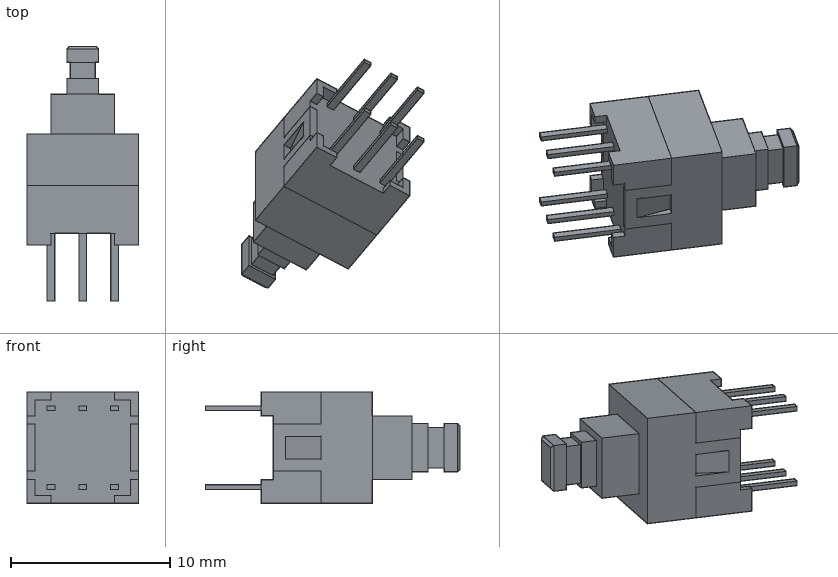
import cadquery as cq


total_length = 16.0
body_width = 7.0

pin_length = 4.25
base_length = 3.0
post_height = 0.75
cover_length = 3.25
collar_length = 2.5

joint_y = base_length
cover_end_y = joint_y + cover_length
collar_end_y = cover_end_y + collar_length
button_end_y = total_length - pin_length

post_leg = 1.5
wall = 0.5

collar_width = 4.0
arm_width = 2.95
arm_center_x = (body_width - wall) / 2
window_width = 1.42
window_length = 2.22

plunger_x = 2.0
plunger_z = 3.04
neck_x = 1.6
neck_z = 2.56
plunger_step = (button_end_y - collar_end_y) / 3
button_chamfer = 0.16

pin_x = 0.5
pin_z = 0.3
pin_columns = 3
pin_rows = 2
pin_pitch_x = 2.0
pin_pitch_z = 4.96


def block(size_x, size_z, start_y, end_y, center_x=0.0, center_z=0.0):
    """Box given by its X and Z sizes and its start and end along Y."""
    length = end_y - start_y
    middle = (center_x, (start_y + end_y) / 2, center_z)
    return cq.Workplane("XY").box(size_x, length, size_z).translate(middle)


def make_arm(side):
    """Snap arm reaching along one X side of the base, with a window for the hook."""
    center_x = side * arm_center_x
    arm = block(wall, arm_width, 0, joint_y, center_x)
    window = block(wall, window_width, joint_y - window_length, joint_y, center_x)
    return arm.cut(window)


def make_cover():
    cover = block(body_width, body_width, joint_y, cover_end_y)
    cover = cover.union(block(collar_width, collar_width, cover_end_y, collar_end_y))
    for side in (-1, 1):
        cover = cover.union(make_arm(side))
    return cover


def make_hook(side):
    """Ramp in the arm's window: flush with the arm at the pin end, falling to its inner face at the joint."""
    outer_x = side * body_width / 2
    inner_x = outer_x - side * wall
    ramp_start_y = joint_y - window_length
    outline = [(inner_x, ramp_start_y), (outer_x, ramp_start_y), (inner_x, joint_y)]
    return cq.Workplane("XY").polyline(outline).close().extrude(window_width / 2, both=True)


def make_base():
    base = block(body_width, body_width, -post_height, joint_y)

    inner_width = body_width - 2 * wall
    post_gap = body_width - 2 * post_leg
    base = base.cut(block(inner_width, inner_width, -post_height, 0))
    base = base.cut(block(post_gap, body_width, -post_height, 0))
    base = base.cut(block(body_width, post_gap, -post_height, 0))

    for side in (-1, 1):
        channel = block(wall, arm_width, 0, joint_y, side * arm_center_x)
        base = base.cut(channel).union(make_hook(side))
    return base


def make_plunger():
    shoulder_end_y = collar_end_y + plunger_step
    neck_end_y = shoulder_end_y + plunger_step
    shoulder = block(plunger_x, plunger_z, collar_end_y, shoulder_end_y)
    neck = block(neck_x, neck_z, shoulder_end_y, neck_end_y)
    button = block(plunger_x, plunger_z, neck_end_y, button_end_y)
    button = button.faces(">Y").chamfer(button_chamfer)
    return shoulder.union(neck).union(button)


def make_pin(column, row):
    center_x = (column - (pin_columns - 1) / 2) * pin_pitch_x
    center_z = (row - (pin_rows - 1) / 2) * pin_pitch_z
    return block(pin_x, pin_z, -pin_length, 0, center_x, center_z)


cover = make_cover()
base = make_base()
plunger = make_plunger()
pins = [make_pin(column, row).val() for row in range(pin_rows) for column in range(pin_columns)]

result = cq.Compound.makeCompound([cover.val(), base.val(), plunger.val(), *pins])